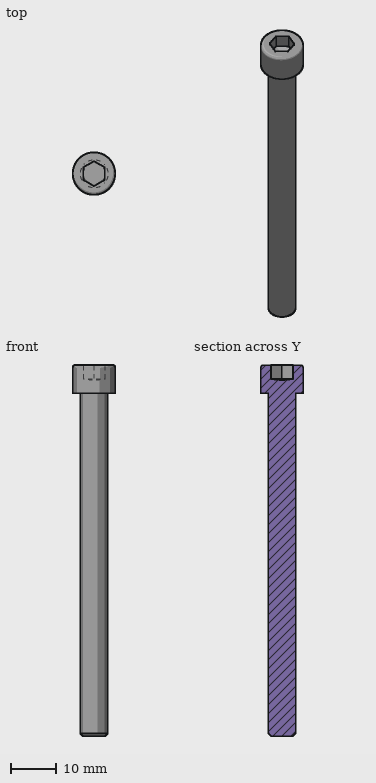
import cadquery as cq
import math

total_length = 82.55
head_diameter = 9.5
head_height = 6.35
shank_diameter = 6.2
head_edge_radius = 0.7
tip_chamfer = 0.7
socket_across_flats = 4.8
socket_depth = 3.1
socket_point_depth = 0.25

shank_length = total_length - head_height
socket_radius = socket_across_flats / math.sqrt(3)


def make_shank():
    shank = cq.Workplane("XY").circle(shank_diameter / 2).extrude(shank_length)
    return shank.faces("<Z").chamfer(tip_chamfer)


def make_head():
    head = cq.Workplane("XY").workplane(offset=shank_length)
    head = head.circle(head_diameter / 2).extrude(head_height)
    return head.faces(">Z").edges().fillet(head_edge_radius)


def make_socket():
    """Hexagonal key socket with corners on the Y axis and a six-sided pointed floor."""
    corners = []
    for side in range(6):
        angle = math.radians(90 + 60 * side)
        corners.append((socket_radius * math.cos(angle), socket_radius * math.sin(angle)))
    floor_height = total_length - socket_depth
    walls = cq.Workplane("XY").workplane(offset=floor_height).polyline(corners).close().extrude(socket_depth)

    rim = [cq.Vector(x, y, floor_height) for x, y in corners]
    apex = cq.Vector(0, 0, floor_height - socket_point_depth)
    faces = [cq.Face.makeFromWires(cq.Wire.makePolygon(rim, close=True))]
    for side in range(6):
        triangle = [rim[side], rim[(side + 1) % 6], apex]
        faces.append(cq.Face.makeFromWires(cq.Wire.makePolygon(triangle, close=True)))
    point = cq.Solid.makeSolid(cq.Shell.makeShell(faces))
    return walls.union(cq.Workplane(obj=point))


result = make_shank().union(make_head()).cut(make_socket())